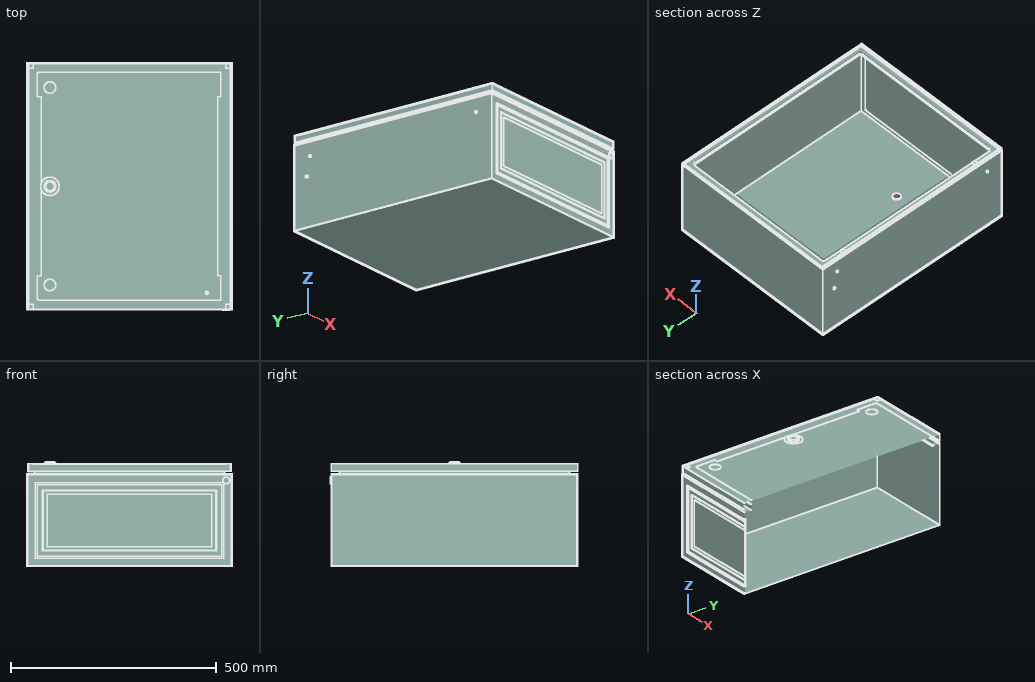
import cadquery as cq

width = 500.0
length = 600.0
housing_height = 225.0
housing_wall = 2.0

collar_width = 462.0
collar_length = 560.0
collar_height = 15.0
collar_radius = 6.0

tab_reach = 15.0
tab_width = 10.0
tab_thickness = 1.5
tab_spacing = 442.0

wall_holes = [(251.0, 185.0, 5.5), (-251.0, 185.0, 5.5), (261.0, 134.0, 6.5)]

boss_diameter = 16.5
boss_height = 2.0
boss_x = 235.0
boss_z = 209.3

plate_width = 458.0
plate_height = 183.0
plate_thickness = 4.0
plate_centre_z = 111.8
ledge_depth = 1.5
face_width = 448.0
face_height = 174.0
face_step = 0.5
groove_width = 424.0
groove_height = 147.0
groove_inner_width = 420.0
groove_inner_height = 145.0
window_width = 401.0
window_height = 127.0

door_gap = 6.0
door_top = 250.0
door_width = 496.0
door_sheet = 1.8
door_side_wall = 2.5
door_end_wall = 1.5
pocket_side = 12.0
pocket_skin = 0.8
mark_depth = 0.5

recess_left = -224.0
recess_right = 222.0
recess_half_length = 277.0
waist_half_width = 214.5
waist_half_length = 218.0
recess_corner_radius = 4.0

door_hole_diameter = 6.5
door_hole_x = 188.0
door_hole_y = -259.0

lock_x = -193.5
lock_diameter = 28.0
lock_height = 4.1
lock_bevel = 3.3
lock_flange_diameter = 45.0
lock_shaft_diameter = 22.0
lock_shaft_length = 20.0
cap_offset_y = 240.0

front_y = -length / 2
door_bottom = housing_height + door_gap
door_ceiling = door_top - door_sheet
cavity_width = door_width - 2 * door_side_wall
cavity_length = length - 2 * door_end_wall


def block(x_size, y_size, z_low, z_high):
    """Box centred on the Z axis between two heights."""
    return cq.Workplane("XY", origin=(0, 0, z_low)).rect(x_size, y_size).extrude(z_high - z_low)


def rounded_block(x_size, y_size, z_low, z_high, radius):
    """Box centred on the Z axis with rounded upright edges."""
    return block(x_size, y_size, z_low, z_high).edges("|Z").fillet(radius)


def disc(x, y, z_low, diameter, height):
    """Upright round disc."""
    return cq.Workplane("XY", origin=(x, y, z_low)).circle(diameter / 2).extrude(height)


def front_panel(x_size, z_size, y_face, depth):
    """Box centred on the gland plate, reaching back from y_face."""
    return (
        cq.Workplane("XZ", origin=(0, y_face, plate_centre_z))
        .rect(x_size, z_size)
        .extrude(-depth)
    )


def make_housing():
    rim_top = housing_height + collar_height
    body = block(width, length, 0, housing_height)
    body = body.union(
        rounded_block(collar_width, collar_length, housing_height, rim_top, collar_radius)
    )

    inner_top = housing_height - housing_wall
    body = body.cut(
        block(width - 2 * housing_wall, length - 2 * housing_wall, housing_wall, inner_top)
    )
    body = body.cut(
        rounded_block(
            collar_width - 2 * housing_wall,
            collar_length - 2 * housing_wall,
            inner_top,
            rim_top,
            collar_radius - housing_wall,
        )
    )

    tab_x = -(collar_width + tab_reach) / 2
    for tab_y in (-tab_spacing / 2, tab_spacing / 2):
        tab = cq.Workplane("XY", origin=(tab_x, tab_y, housing_height))
        body = body.union(tab.rect(tab_reach, tab_width).extrude(tab_thickness))

    for y, z, diameter in wall_holes:
        drill = cq.Workplane("YZ", origin=(-width / 2, y, z)).circle(diameter / 2)
        body = body.cut(drill.extrude(housing_wall))

    body = body.cut(front_panel(plate_width, plate_height, front_y, housing_wall))
    boss = cq.Workplane("XZ", origin=(boss_x, front_y, boss_z)).circle(boss_diameter / 2)
    return body.union(boss.extrude(boss_height))


def make_gland_plate():
    ledge_y = front_y + ledge_depth
    face_y = ledge_y - face_step
    plate = front_panel(plate_width, plate_height, ledge_y, plate_thickness)
    plate = plate.union(front_panel(face_width, face_height, face_y, face_step))
    groove = front_panel(groove_width, groove_height, face_y, face_step).cut(
        front_panel(groove_inner_width, groove_inner_height, face_y, face_step)
    )
    window = front_panel(window_width, window_height, face_y, face_step)
    return plate.cut(groove).cut(window)


def door_recess():
    """Shallow recess on the door's face, with two rounded corners on its left."""
    outline = (
        cq.Workplane("XY", origin=(0, 0, door_top - mark_depth))
        .moveTo(recess_left, recess_half_length)
        .lineTo(recess_right, recess_half_length)
        .lineTo(recess_right, waist_half_length)
        .lineTo(waist_half_width, waist_half_length)
        .lineTo(waist_half_width, 0)
        .lineTo(-waist_half_width, 0)
        .lineTo(-waist_half_width, waist_half_length)
        .lineTo(recess_left, waist_half_length)
        .close()
    )
    half = outline.extrude(mark_depth)
    half = half.edges("|Z and <X and >Y").fillet(recess_corner_radius)
    return half.union(half.mirror("XZ"))


def make_door():
    body = block(door_width, length, door_bottom, door_top)
    body = body.cut(block(cavity_width, cavity_length, door_bottom, door_ceiling))

    pockets = (
        cq.Workplane("XY", origin=(0, 0, door_ceiling))
        .rect(cavity_width - pocket_side, cavity_length - pocket_side, forConstruction=True)
        .vertices()
        .rect(pocket_side, pocket_side)
        .extrude(door_sheet - pocket_skin)
    )
    body = body.cut(pockets)

    body = body.cut(door_recess())
    for cap_y in (-cap_offset_y, cap_offset_y):
        body = body.union(disc(lock_x, cap_y, door_top - mark_depth, lock_diameter, mark_depth))

    body = body.cut(
        disc(door_hole_x, door_hole_y, door_ceiling, door_hole_diameter, door_sheet)
    )
    return body.cut(make_lock())


def make_lock():
    seat = door_top - mark_depth
    head = disc(lock_x, 0, seat, lock_diameter, lock_height + mark_depth)
    head = head.faces(">Z").edges().chamfer(lock_bevel)
    flange = disc(lock_x, 0, seat, lock_flange_diameter, mark_depth)
    shaft = disc(lock_x, 0, seat - lock_shaft_length, lock_shaft_diameter, lock_shaft_length)
    return head.union(flange).union(shaft)


housing = make_housing()
gland_plate = make_gland_plate()
door = make_door()
lock = make_lock()

result = cq.Compound.makeCompound([housing.val(), gland_plate.val(), door.val(), lock.val()])